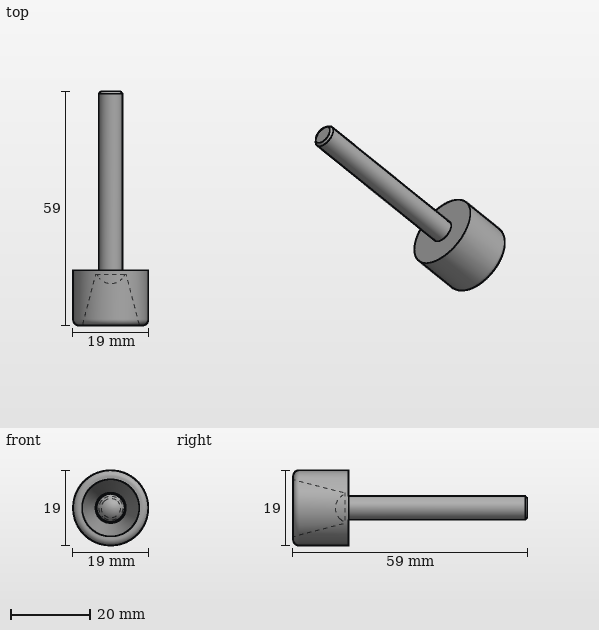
import cadquery as cq
import math

total_length = 59.0
head_diameter = 19.0
head_length = 14.0
head_fillet = 1.55
pin_diameter = 6.0
pin_chamfer = 0.6

recess_mouth_diameter = 14.4
recess_floor_diameter = 7.65
recess_depth = 13.0
dome_diameter = 7.0
dome_height = 2.35

front_y = 0.0
head_back_y = front_y + head_length
pin_end_y = front_y + total_length
recess_floor_y = front_y + recess_depth


def make_head():
    disc = cq.Workplane("XZ", origin=(0, head_back_y, 0)).circle(head_diameter / 2).extrude(head_length)
    return disc.faces("<Y").edges().fillet(head_fillet)


def make_pin():
    pin_length = pin_end_y - head_back_y
    rod = cq.Workplane("XZ", origin=(0, pin_end_y, 0)).circle(pin_diameter / 2).extrude(pin_length)
    return rod.faces(">Y").edges().chamfer(pin_chamfer)


def make_recess():
    """Cone that narrows from the front face to the recess floor."""
    profile = [
        (0, front_y),
        (recess_mouth_diameter / 2, front_y),
        (recess_floor_diameter / 2, recess_floor_y),
        (0, recess_floor_y),
    ]
    return cq.Workplane("XY").polyline(profile).close().revolve(360, (0, 0, 0), (0, 1, 0))


def make_dome():
    """Spherical cap that rises from the recess floor towards the front face."""
    dome_radius = dome_diameter / 2
    sphere_radius = (dome_radius**2 + dome_height**2) / (2 * dome_height)
    rim_angle = math.asin(dome_radius / sphere_radius)
    sphere_centre_y = recess_floor_y - dome_height + sphere_radius
    arc_middle = (
        sphere_radius * math.sin(rim_angle / 2),
        sphere_centre_y - sphere_radius * math.cos(rim_angle / 2),
    )
    profile = (
        cq.Workplane("XY")
        .moveTo(0, recess_floor_y)
        .lineTo(dome_radius, recess_floor_y)
        .threePointArc(arc_middle, (0, recess_floor_y - dome_height))
        .close()
    )
    return profile.revolve(360, (0, 0, 0), (0, 1, 0))


result = make_head().union(make_pin()).cut(make_recess()).union(make_dome())